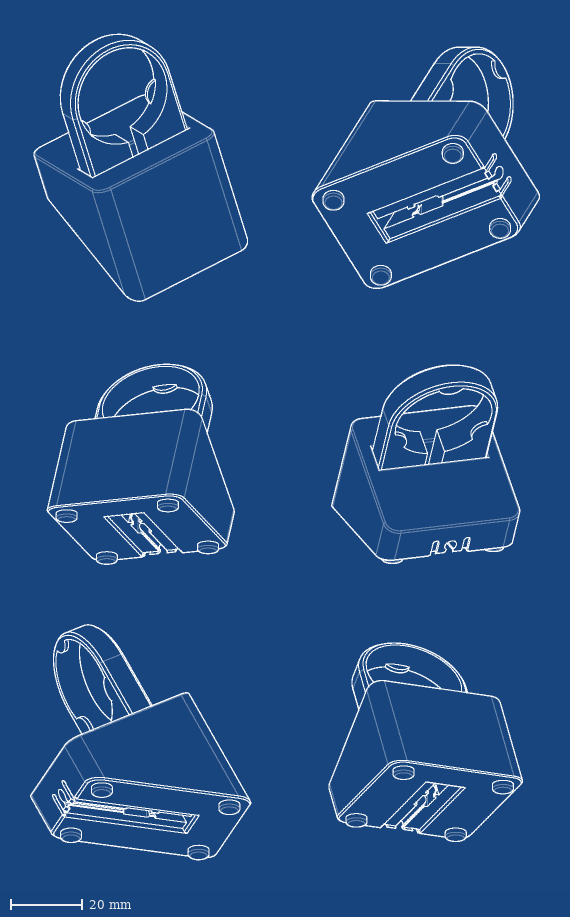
import cadquery as cq
import math

tilt = 30.0
slope_length = 42.0
housing_width = 40.05
front_height = 12.75
corner_radius = 4.0
edge_chamfer = 0.5
edge_fillet = 0.5

ring_thickness = 8.0
ring_radius = 16.0
ring_bore_radius = 14.1
ring_centre_height = 18.4
ring_front = 23.05
ring_depth = 15.05
ring_front_chamfer_length = 0.8
ring_front_chamfer_width = 0.65
ring_back_chamfer = 1.0
ring_slot_width = 5.0

pocket_long_fillet = 0.6
pocket_end_fillet = 0.3

tab_radius = 4.15
tab_thickness = 1.15
tab_angles = (90, 210, 330)

foot_diameter = 5.9
foot_height = 2.1
foot_fillet = 0.6
foot_dome = 0.25
foot_pitch_x = 37.35
foot_pitch_y = 29.8
first_foot_x = 5.1

cable_hole_width = 4.0
cable_hole_length = 7.55
cable_hole_front = 16.35
cable_hole_top = 17.95
cable_hole_radius = 0.6

cable_radius = 1.7
cable_height = 3.5
neck_width = 2.1
neck_bottom = 1.6
mouth_width = 2.7
mouth_top = 1.05

clip_slot_width = 1.8
clip_slot_pitch = 9.15
clip_slot_top = 5.8
clip_thickness = 1.0
cavity_width = 11.8
cavity_height = 1.4
clip_clearance = 0.5

tilt_rad = math.radians(tilt)
along_slope = cq.Vector(math.cos(tilt_rad), 0, math.sin(tilt_rad))
off_slope = cq.Vector(-math.sin(tilt_rad), 0, math.cos(tilt_rad))
base_length = slope_length / math.cos(tilt_rad)
rear_height = slope_length * math.tan(tilt_rad)
ring_back = ring_front + ring_thickness
ring_width = 2 * ring_radius
cable_hole_back = cable_hole_front + cable_hole_length
shaft_front = ring_front / math.cos(tilt_rad)
shaft_back = ring_back / math.cos(tilt_rad)
overshoot = 2.9


def slope_plane(height):
    """Plane parallel to the slope; local X runs up the slope, local Y is Y."""
    return cq.Plane(origin=(off_slope * height).toTuple(), xDir=along_slope.toTuple(), normal=off_slope.toTuple())


def ring_plane(distance):
    """Plane square to the slope; local X is Y, local Y is the height above the slope."""
    origin = along_slope * distance + off_slope * front_height
    return cq.Plane(origin=origin.toTuple(), xDir=(0, 1, 0), normal=along_slope.toTuple())


def box(x_min, x_max, width, z_min, z_max):
    """Box centred on the X-Z plane."""
    size = (x_max - x_min, width, z_max - z_min)
    return cq.Workplane("XY").box(*size, centered=(False, True, False)).translate((x_min, 0, z_min))


def housing_block():
    block = (
        cq.Workplane(slope_plane(-rear_height))
        .center(slope_length / 2, 0)
        .rect(slope_length, housing_width)
        .extrude(rear_height + front_height)
        .edges(cq.ParallelDirSelector(off_slope))
        .fillet(corner_radius)
    )
    below_base = box(-base_length, 2 * base_length, 2 * housing_width, -2 * rear_height, 0)
    block = block.cut(below_base)
    block = block.faces("<Z").edges().chamfer(edge_chamfer)
    return block.faces(cq.DirectionMinMaxSelector(off_slope)).edges().fillet(edge_fillet)


def pocket_section(plane, width, rim_radius):
    """Cross-section of the pocket with a rounded mouth; local Y is the height above the slope."""
    half = width / 2
    bulge = rim_radius * (1 - math.sqrt(0.5))
    return (
        cq.Workplane(plane)
        .moveTo(-half, -ring_depth)
        .lineTo(-half, -rim_radius)
        .threePointArc((-half - bulge, -bulge), (-half - rim_radius, 0))
        .lineTo(half + rim_radius, 0)
        .threePointArc((half + bulge, -bulge), (half, -rim_radius))
        .lineTo(half, -ring_depth)
        .close()
    )


def ring_pocket():
    """Pocket that fits the ring: a lengthwise and a crosswise section, where they coincide."""
    middle = ring_front + ring_thickness / 2
    centre = along_slope * middle + off_slope * front_height
    side_plane = cq.Plane(origin=centre.toTuple(), xDir=along_slope.toTuple(), normal=(0, -1, 0))
    across = pocket_section(side_plane, ring_thickness, pocket_long_fillet).extrude(ring_width, both=True)
    along = pocket_section(ring_plane(middle), ring_width, pocket_end_fillet).extrude(ring_thickness, both=True)
    return across.intersect(along)


def cable_hole():
    """Upright hole that leads the cable from the pocket to the base."""
    hole = box(cable_hole_front, cable_hole_back, cable_hole_width, 0, cable_hole_top)
    return hole.edges("|Z").fillet(cable_hole_radius)


def cable_shaft():
    """Leaning shaft from the floor of the pocket to the base, flush with the pocket's long walls."""
    return (
        cq.Workplane(slope_plane(front_height - ring_depth))
        .center(ring_front + ring_thickness / 2, 0)
        .rect(ring_thickness, cable_hole_width)
        .extrude(-rear_height)
    )


def keyhole_passage():
    """Round cable passage with a snap-in neck that widens to a mouth at the base."""
    start = -front_height
    length = shaft_front - start
    section = cq.Workplane("YZ", origin=(start, 0, 0))
    bore = section.center(0, cable_height).circle(cable_radius).extrude(length)
    neck = (
        section.moveTo(-mouth_width / 2, 0)
        .lineTo(-mouth_width / 2, mouth_top)
        .lineTo(-neck_width / 2, neck_bottom)
        .lineTo(-neck_width / 2, cable_height)
        .lineTo(neck_width / 2, cable_height)
        .lineTo(neck_width / 2, neck_bottom)
        .lineTo(mouth_width / 2, mouth_top)
        .lineTo(mouth_width / 2, 0)
        .close()
        .extrude(length)
    )
    return bore.union(neck)


def along_front_wall(x_min, x_max, z_min, z_max, width):
    """Block with both ends parallel to the front wall; x_min and x_max are measured at the base."""
    lean = math.tan(tilt_rad)
    outline = [
        (x_min - z_min * lean, z_min),
        (x_max - z_min * lean, z_min),
        (x_max - z_max * lean, z_max),
        (x_min - z_max * lean, z_max),
    ]
    return cq.Workplane("XZ").polyline(outline).close().extrude(width / 2, both=True)


def clip_slots():
    """Two round-topped slots beside the keyhole, which free the clip fingers."""
    slots = cq.Workplane("XY")
    for side in (-1, 1):
        slot = along_front_wall(-overshoot, clip_thickness, 0, clip_slot_top, clip_slot_width)
        round_top = (
            cq.Workplane("YZ", origin=(-front_height, 0, 0))
            .moveTo(-clip_slot_width / 2, 0)
            .lineTo(-clip_slot_width / 2, clip_slot_top - clip_slot_width / 2)
            .threePointArc((0, clip_slot_top), (clip_slot_width / 2, clip_slot_top - clip_slot_width / 2))
            .lineTo(clip_slot_width / 2, 0)
            .close()
            .extrude(2 * front_height)
        )
        slots = slots.add(slot.intersect(round_top).translate((0, side * clip_slot_pitch / 2, 0)))
    return slots.combine()


def clip_cavity():
    """Recess in the base behind and below the clip fingers."""
    lean = math.tan(tilt_rad)
    behind = along_front_wall(clip_thickness, shaft_back, 0, cavity_height, cavity_width)
    below = along_front_wall(-overshoot, shaft_back, 0, clip_clearance, cavity_width)
    back_chamfer = (
        cq.Workplane("XZ")
        .polyline([(shaft_front, 0), (shaft_back + edge_chamfer, 0), (shaft_back - edge_chamfer * lean, edge_chamfer)])
        .close()
        .extrude(cavity_width / 2, both=True)
    )
    return behind.union(below).union(back_chamfer)


def finger_chamfer():
    """Wedge that chamfers the lower front edge of the clip fingers."""
    lean = math.tan(tilt_rad)
    top = clip_clearance + edge_chamfer
    width = clip_slot_pitch - clip_slot_width
    return (
        cq.Workplane("XZ")
        .polyline([(-top * lean, top), (edge_chamfer, clip_clearance), (-overshoot, clip_clearance)])
        .close()
        .extrude(width / 2, both=True)
    )


def make_housing():
    housing = housing_block().cut(ring_pocket()).cut(cable_hole()).cut(cable_shaft()).cut(keyhole_passage())
    return housing.cut(clip_slots()).cut(clip_cavity()).cut(finger_chamfer())


def ring_blank():
    blank = (
        cq.Workplane(ring_plane(ring_front))
        .moveTo(-ring_radius, -ring_depth)
        .lineTo(-ring_radius, ring_centre_height)
        .threePointArc((0, ring_centre_height + ring_radius), (ring_radius, ring_centre_height))
        .lineTo(ring_radius, -ring_depth)
        .close()
        .extrude(ring_thickness)
    )
    front_face = cq.DirectionMinMaxSelector(along_slope, directionMax=False)
    back_face = cq.DirectionMinMaxSelector(along_slope)
    blank = blank.faces(front_face).edges("not |Y").chamfer(ring_front_chamfer_length, ring_front_chamfer_width)
    return blank.faces(back_face).edges("not |Y").chamfer(ring_back_chamfer)


def retaining_tabs():
    """Lobes at the front of the bore, centred on the outer radius of the ring."""
    lobes = (
        cq.Workplane(ring_plane(ring_front))
        .center(0, ring_centre_height)
        .pushPoints([
            (ring_radius * math.cos(math.radians(a)), ring_radius * math.sin(math.radians(a)))
            for a in tab_angles
        ])
        .circle(tab_radius)
        .extrude(tab_thickness)
    )
    bore = (
        cq.Workplane(ring_plane(ring_front))
        .center(0, ring_centre_height)
        .circle(ring_bore_radius)
        .extrude(tab_thickness)
    )
    return lobes.intersect(bore)


def make_ring():
    face = cq.Workplane(ring_plane(ring_front))
    bore = face.center(0, ring_centre_height).circle(ring_bore_radius).extrude(ring_thickness)
    slot_height = ring_depth + ring_centre_height
    slot = (
        face.center(0, ring_centre_height - slot_height / 2)
        .rect(ring_slot_width, slot_height)
        .extrude(ring_thickness)
    )
    return ring_blank().cut(bore).cut(slot).union(retaining_tabs())


def make_foot(x, y):
    """Round foot under the base, with a filleted rim and a slightly domed sole."""
    radius = foot_diameter / 2
    sole_radius = radius - foot_fillet
    rim_z = foot_dome - foot_height
    fillet_offset = foot_fillet * math.sqrt(0.5)
    dome_sphere = (sole_radius ** 2 + foot_dome ** 2) / (2 * foot_dome)
    half_sole = sole_radius / 2
    half_sole_z = dome_sphere - foot_height - math.sqrt(dome_sphere ** 2 - half_sole ** 2)
    return (
        cq.Workplane("XZ")
        .lineTo(radius, 0)
        .lineTo(radius, rim_z + foot_fillet)
        .threePointArc(
            (sole_radius + fillet_offset, rim_z + foot_fillet - fillet_offset),
            (sole_radius, rim_z),
        )
        .threePointArc((half_sole, half_sole_z), (0, -foot_height))
        .close()
        .revolve(360, (0, 0, 0), (0, 1, 0))
        .translate((x, y, 0))
    )


housing = make_housing()
ring = make_ring()
feet = [
    make_foot(first_foot_x + column * foot_pitch_x, side * foot_pitch_y / 2)
    for column in (0, 1)
    for side in (-1, 1)
]

result = cq.Compound.makeCompound([housing.val(), ring.val(), *[foot.val() for foot in feet]])